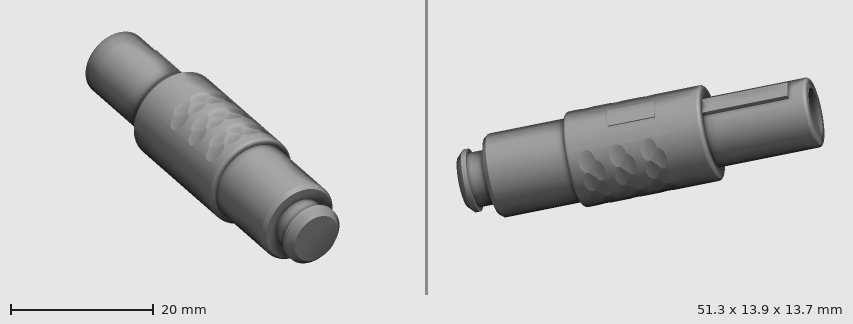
import cadquery as cq

NOSE_LENGTH = 15.0
SLEEVE_LENGTH = 20.0
REAR_LENGTH = 12.0
NECK_LENGTH = 2.7
CAP_LENGTH = 1.6

NOSE_DIAMETER = 10.0
SLEEVE_DIAMETER = 13.7
REAR_DIAMETER = 12.0
NECK_DIAMETER = 7.8
CAP_DIAMETER = 9.0

EDGE_ROUND = 0.5
REAR_CHAMFER_LENGTH = 0.6
REAR_CHAMFER_DROP = 0.45
CAP_CHAMFER = 0.9

BORE_DIAMETER = 7.0
BORE_DEPTH = NOSE_LENGTH

KEY_START = 2.5
KEY_WIDTH = 2.6
KEY_TOP = 5.5

PAD_START = 21.5
PAD_LENGTH = 6.9
PAD_WIDTH = 3.1
PAD_RISE = 0.15

SCALLOP_DEPTH = 0.2
SCALLOP_RADIUS = 3.7
SCALLOP_STEP_ANGLE = 26.0
SCALLOP_PAIR_PITCH = 4.5
SCALLOP_PAIR_COUNT = 3
FRONT_RING_X = 22.05
RING_SPACING = 1.0
BACK_RING_X = FRONT_RING_X + RING_SPACING
FRONT_RING_COUNT = 3
BACK_RING_COUNT = 4

sleeve_radius = SLEEVE_DIAMETER / 2
rear_start = NOSE_LENGTH + SLEEVE_LENGTH
neck_start = rear_start + REAR_LENGTH
cap_start = neck_start + NECK_LENGTH


def cylinder(start, length, diameter):
    """Solid cylinder along the X axis."""
    return cq.Workplane("YZ").workplane(offset=start).circle(diameter / 2).extrude(length)


def make_key():
    """Rectangular key that starts inside the nose wall and runs to the sleeve."""
    root = (NOSE_DIAMETER + BORE_DIAMETER) / 4
    key = cq.Workplane("XY").box(
        NOSE_LENGTH - KEY_START, KEY_TOP - root, KEY_WIDTH, centered=(False, False, True)
    )
    return key.translate((KEY_START, root, 0))


def make_pad():
    """Pad with its outer face concentric with the sleeve."""
    outer = cylinder(PAD_START, PAD_LENGTH, SLEEVE_DIAMETER + 2 * PAD_RISE)
    window = cq.Workplane("XY").box(
        PAD_LENGTH, SLEEVE_DIAMETER, PAD_WIDTH, centered=(False, False, True)
    )
    return outer.intersect(window.translate((PAD_START, 0, 0)))


def make_scallop(x, angle):
    """Cylindrical cutter lying tangentially across the sleeve, turned by angle from +Z."""
    axis_height = sleeve_radius - SCALLOP_DEPTH + SCALLOP_RADIUS
    cutter = cq.Workplane("XZ").center(x, axis_height).circle(SCALLOP_RADIUS)
    cutter = cutter.extrude(sleeve_radius / 2, both=True)
    return cutter.rotate((0, 0, 0), (1, 0, 0), angle)


def cut_scallop_ring(body, x, count):
    """Cut one ring of scallops centred on +Z and its mirror centred on -Z."""
    for side_angle in (0, 180):
        for index in range(count):
            angle = side_angle + (index - (count - 1) / 2) * SCALLOP_STEP_ANGLE
            body = body.cut(make_scallop(x, angle))
    return body


def make_sleeve():
    """Sleeve with rounded ends, grip scallops and the raised pad."""
    sleeve = cylinder(NOSE_LENGTH, SLEEVE_LENGTH, SLEEVE_DIAMETER)
    sleeve = sleeve.faces("<X or >X").edges().fillet(EDGE_ROUND)
    for pair in range(SCALLOP_PAIR_COUNT):
        shift = pair * SCALLOP_PAIR_PITCH
        sleeve = cut_scallop_ring(sleeve, FRONT_RING_X + shift, FRONT_RING_COUNT)
        sleeve = cut_scallop_ring(sleeve, BACK_RING_X + shift, BACK_RING_COUNT)
    return sleeve.union(make_pad())


def make_rear():
    """Rear barrel with its free end chamfered."""
    outer_radius = REAR_DIAMETER / 2
    end_radius = outer_radius - REAR_CHAMFER_DROP
    profile = (
        cq.Workplane("XY")
        .moveTo(rear_start, 0)
        .lineTo(rear_start, outer_radius)
        .lineTo(neck_start - REAR_CHAMFER_LENGTH, outer_radius)
        .lineTo(neck_start, end_radius)
        .lineTo(neck_start, 0)
        .close()
    )
    return profile.revolve(360, (0, 0, 0), (1, 0, 0))


nose = cylinder(0, NOSE_LENGTH, NOSE_DIAMETER).faces("<X").edges().fillet(EDGE_ROUND)
rear = make_rear()
neck = cylinder(neck_start, NECK_LENGTH, NECK_DIAMETER)
cap = cylinder(cap_start, CAP_LENGTH, CAP_DIAMETER).faces(">X").edges().chamfer(CAP_CHAMFER)
bore = cylinder(0, BORE_DEPTH, BORE_DIAMETER)

result = nose
for piece in (make_key(), make_sleeve(), rear, neck, cap):
    result = result.union(piece)
result = result.cut(bore)